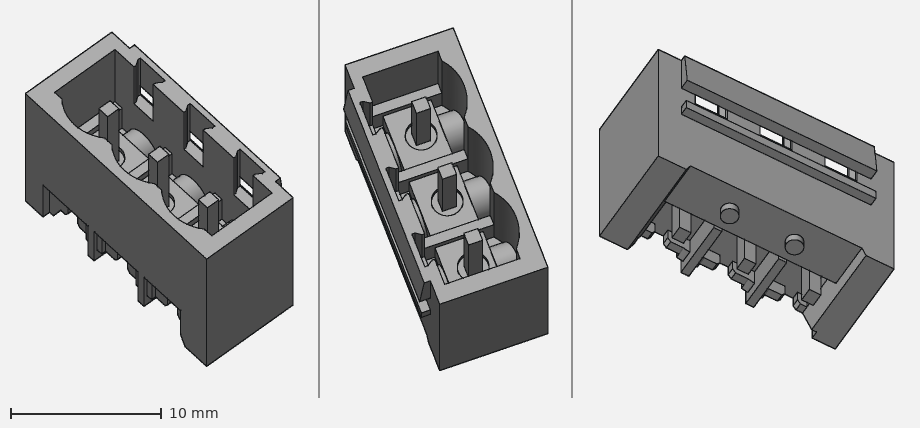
import cadquery as cq


WIDTH = 18.2
DEPTH = 7.66
HEIGHT = 12.01
PITCH = 5.0
POLE_X = [-PITCH, 0.0, PITCH]
DIVIDER_X = [-PITCH / 2, PITCH / 2]

PIN_WIDTH = 0.9
PIN_DEPTH = 1.0
PIN_Y = 3.79
PIN_RECESS = 0.93
PIN_TOP = HEIGHT - PIN_RECESS
PIN_TAIL = 1.5

CAVITY_WIDTH = 15.76
CAVITY_FRONT = 1.53
CAVITY_BACK = 6.86
SHELF_Z = 6.19
BAY_WIDTH = 4.3
BAY_FLOOR_Z = 3.97
BAY_FRONT = 0.75

BLOCK_FRONT = 2.3
BLOCK_BACK = 5.7
BLOCK_TOP = 5.65
BAR_RADIUS = 1.47
COUNTERBORE_RADIUS = 1.05
COUNTERBORE_DEPTH = 0.36

GROOVE_MOUTH = 1.93
GROOVE_WIDTH = 2.48
GROOVE_NECK_DEPTH = 0.18
GROOVE_FLARE_DEPTH = 0.58
GROOVE_NECK_Y = CAVITY_BACK + GROOVE_NECK_DEPTH
GROOVE_FLARE_Y = CAVITY_BACK + GROOVE_FLARE_DEPTH
GROOVE_LENGTH = 4.11

LEDGE_WIDTH = 14.63
LEDGE_HEIGHT = 3.13
LEDGE_TOP_REACH = 0.44
LEDGE_BOTTOM_REACH = 0.76
RIB_REACH = 0.64
RIB_BOTTOM = 5.95
RIB_HEIGHT = 0.8

FOOT_GAP_WIDTH = 13.87
FOOT_GAP_TOP_WIDTH = 12.45
REAR_BOTTOM = 0.62
REAR_FRONT = PIN_Y + PIN_DEPTH / 2
WALL_FRONT = 0.58
WALL_BACK = 1.16
WALL_BOTTOM = 1.36
UNDERSIDE_Z = 2.53

NOTCH_LEFT = -7.32
NOTCH_RIGHT = 6.46
NOTCH_TOP = 3.57
STRIP_WIDTH = 1.6
STRIP_FRONT = 0.27
STRIP_BOTTOM = 1.22

SLOT_WIDTH = 0.98
SLOT_MOUTH = 1.44
SLOT_FLARE_Z = 1.67

DIVIDER_WIDTH = 0.62
DIVIDER_BOTTOM = 0.31
PEG_RADIUS = 0.62
PEG_Y = 5.82


def box(x_min, x_max, y_min, y_max, z_min, z_max):
    """A plain block between two opposite corners."""
    size = (x_max - x_min, y_max - y_min, z_max - z_min)
    return cq.Workplane("XY").box(*size, centered=False).translate((x_min, y_min, z_min))


def centered_box(x, width, y_min, y_max, z_min, z_max):
    """A block placed evenly about x."""
    return box(x - width / 2, x + width / 2, y_min, y_max, z_min, z_max)


def front_sketch(y):
    """A plane at depth y that extrudes towards the back by negative distances."""
    return cq.Workplane("XZ", origin=(0, y, 0))


def bay_recess(x):
    """Deep part of the cavity at one pole, with a bowed front wall."""
    half = BAY_WIDTH / 2
    return (
        cq.Workplane("XY", origin=(x, 0, BAY_FLOOR_Z))
        .moveTo(-half, CAVITY_BACK)
        .lineTo(-half, CAVITY_FRONT)
        .threePointArc((0, BAY_FRONT), (half, CAVITY_FRONT))
        .lineTo(half, CAVITY_BACK)
        .close()
        .extrude(HEIGHT - BAY_FLOOR_Z)
    )


def mating_cavity():
    """Shallow shelf level over the full width plus one deep bay per pole."""
    cavity = centered_box(0, CAVITY_WIDTH, CAVITY_FRONT, CAVITY_BACK, SHELF_Z, HEIGHT)
    for x in POLE_X:
        cavity = cavity.union(bay_recess(x))
    return cavity


def pin_support(x):
    """Upper half of a round bar on the bay floor, and the block around the pin."""
    bar = (
        cq.Workplane("XZ", origin=(x, BAY_FRONT, BAY_FLOOR_Z))
        .moveTo(-BAR_RADIUS, 0)
        .threePointArc((0, BAR_RADIUS), (BAR_RADIUS, 0))
        .close()
        .extrude(BAY_FRONT - CAVITY_BACK)
    )
    block = centered_box(x, BAY_WIDTH, BLOCK_FRONT, BLOCK_BACK, BAY_FLOOR_Z, BLOCK_TOP)
    counterbore = (
        cq.Workplane("XY", origin=(x, PIN_Y, BLOCK_TOP))
        .circle(COUNTERBORE_RADIUS)
        .extrude(-COUNTERBORE_DEPTH)
    )
    return bar.union(block).cut(counterbore)


def dovetail_groove(x):
    """Groove in the back wall that breaks out below the ledge."""
    mouth = GROOVE_MOUTH / 2
    wide = GROOVE_WIDTH / 2
    return (
        cq.Workplane("XY", origin=(x, 0, HEIGHT))
        .polyline([
            (-mouth, CAVITY_BACK),
            (-mouth, GROOVE_NECK_Y),
            (-wide, GROOVE_FLARE_Y),
            (-wide, DEPTH),
            (wide, DEPTH),
            (wide, GROOVE_FLARE_Y),
            (mouth, GROOVE_NECK_Y),
            (mouth, CAVITY_BACK),
        ])
        .close()
        .extrude(-GROOVE_LENGTH)
    )


def back_ledge():
    """Latch ledge that thickens downwards."""
    return (
        cq.Workplane("YZ", origin=(-LEDGE_WIDTH / 2, 0, 0))
        .polyline([
            (DEPTH, HEIGHT),
            (DEPTH + LEDGE_TOP_REACH, HEIGHT),
            (DEPTH + LEDGE_BOTTOM_REACH, HEIGHT - LEDGE_HEIGHT),
            (DEPTH, HEIGHT - LEDGE_HEIGHT),
        ])
        .close()
        .extrude(LEDGE_WIDTH)
    )


def back_rib():
    """Straight rib below the ledge."""
    return centered_box(0, LEDGE_WIDTH, DEPTH, DEPTH + RIB_REACH, RIB_BOTTOM, RIB_BOTTOM + RIB_HEIGHT)


def foot_opening():
    """Gap between the two feet, deeper ahead of the rear mass, and the hollow behind the front wall."""
    gap = (
        front_sketch(0)
        .polyline([
            (-FOOT_GAP_WIDTH / 2, 0),
            (-FOOT_GAP_TOP_WIDTH / 2, WALL_BOTTOM),
            (FOOT_GAP_TOP_WIDTH / 2, WALL_BOTTOM),
            (FOOT_GAP_WIDTH / 2, 0),
        ])
        .close()
        .extrude(-DEPTH)
    )
    rear_mass = centered_box(0, WIDTH, REAR_FRONT, DEPTH, REAR_BOTTOM, WALL_BOTTOM)
    hollow = centered_box(0, FOOT_GAP_TOP_WIDTH, WALL_BACK, REAR_FRONT, WALL_BOTTOM, UNDERSIDE_Z)
    return gap.cut(rear_mass).union(hollow)


def front_notch():
    """Wide notch in the front face, back to the slotted wall."""
    return box(NOTCH_LEFT, NOTCH_RIGHT, 0, WALL_FRONT, 0, NOTCH_TOP)


def wall_slot(x):
    """Slot through the front wall with a flared mouth."""
    half = SLOT_WIDTH / 2
    mouth = SLOT_MOUTH / 2
    return (
        front_sketch(WALL_FRONT)
        .polyline([
            (x - mouth, WALL_BOTTOM),
            (x - half, SLOT_FLARE_Z),
            (x - half, UNDERSIDE_Z),
            (x + half, UNDERSIDE_Z),
            (x + half, SLOT_FLARE_Z),
            (x + mouth, WALL_BOTTOM),
        ])
        .close()
        .extrude(WALL_FRONT - WALL_BACK)
    )


def divider(x):
    """Thin web between two poles, backed by a wider strip with a bowed lower end."""
    web = centered_box(x, DIVIDER_WIDTH, 0, REAR_FRONT, DIVIDER_BOTTOM, NOTCH_TOP)
    half = STRIP_WIDTH / 2
    strip = (
        front_sketch(STRIP_FRONT)
        .moveTo(x - half, NOTCH_TOP)
        .lineTo(x - half, WALL_BOTTOM)
        .threePointArc((x, STRIP_BOTTOM), (x + half, WALL_BOTTOM))
        .lineTo(x + half, NOTCH_TOP)
        .close()
        .extrude(STRIP_FRONT - WALL_BACK)
    )
    return web.union(strip)


def locating_peg(x):
    """Round peg that stands level with the feet."""
    return cq.Workplane("XY", origin=(x, PEG_Y, 0)).circle(PEG_RADIUS).extrude(WALL_BOTTOM)


def make_pin(x):
    """Straight contact pin of rectangular section."""
    front = PIN_Y - PIN_DEPTH / 2
    return centered_box(x, PIN_WIDTH, front, front + PIN_DEPTH, -PIN_TAIL, PIN_TOP)


def make_housing():
    """Shroud with its cavity, back features and underside, pierced for the pins."""
    housing = centered_box(0, WIDTH, 0, DEPTH, 0, HEIGHT)
    housing = housing.cut(mating_cavity()).cut(foot_opening()).cut(front_notch())
    housing = housing.union(back_ledge()).union(back_rib())
    for x in DIVIDER_X:
        housing = housing.union(divider(x)).union(locating_peg(x))
    for x in POLE_X:
        housing = housing.union(pin_support(x))
        housing = housing.cut(dovetail_groove(x)).cut(wall_slot(x)).cut(make_pin(x))
    return housing


housing = make_housing()
pins = [make_pin(x) for x in POLE_X]

result = cq.Compound.makeCompound([housing.val(), *[pin.val() for pin in pins]])